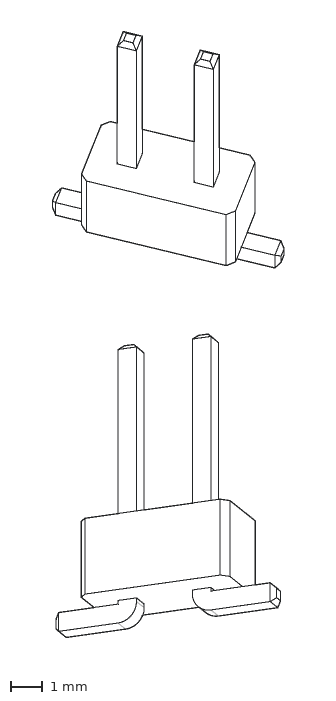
import cadquery as cq

pitch = 2.54
pin_width = 0.63
total_height = 9.3
foot_span = 7.54
standoff = 0.75
corner_chamfer = 0.23
tip_chamfer = 0.16

housing_length = 2 * pitch
pin_inner = (pitch - pin_width) / 2
pin_outer = pin_inner + pin_width
foot_tip = foot_span / 2


def make_housing():
    """Block with chamfered vertical corners."""
    return (
        cq.Workplane("XY")
        .workplane(offset=standoff)
        .rect(housing_length, pitch)
        .extrude(pitch)
        .edges("|Z")
        .chamfer(corner_chamfer)
    )


def make_right_pin():
    """L-shaped pin with a sharp inside corner and a rounded outside corner."""
    pin = (
        cq.Workplane("XZ")
        .moveTo(pin_inner, total_height)
        .lineTo(pin_inner, pin_width)
        .radiusArc((pin_outer, 0), -pin_width)
        .lineTo(foot_tip, 0)
        .lineTo(foot_tip, pin_width)
        .lineTo(pin_outer, pin_width)
        .lineTo(pin_outer, total_height)
        .close()
        .extrude(pin_width / 2, both=True)
    )
    pin = pin.faces(">Z").chamfer(tip_chamfer)
    return pin.faces(">X").chamfer(tip_chamfer)


right_pin = make_right_pin()
left_pin = right_pin.mirror("YZ")
result = make_housing().union(right_pin).union(left_pin)